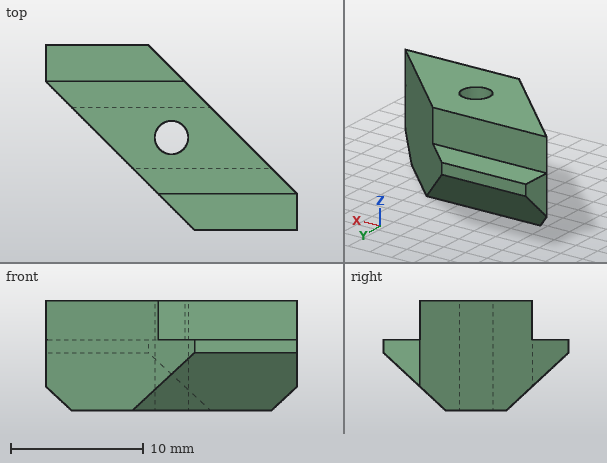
import cadquery as cq

length = 19.0
width = 14.0
height = 8.3

stem_width = 8.5
stem_height = 2.95
flange_edge = 0.99
bottom_width = 4.6

hole_diameter = 2.5

half_length = length / 2
half_width = width / 2
half_stem = stem_width / 2
half_bottom = bottom_width / 2
flange_top = height - stem_height
flank_top = flange_top - flange_edge


def t_profile_bar():
    """Bar along X: upright stem, side flanges and flanks tapering to the bottom."""
    right_half = [
        (half_bottom, 0),
        (half_width, flank_top),
        (half_width, flange_top),
        (half_stem, flange_top),
        (half_stem, height),
    ]
    left_half = [(-y, z) for y, z in reversed(right_half)]
    return (
        cq.Workplane("YZ")
        .polyline(right_half + left_half)
        .close()
        .extrude(half_length, both=True)
    )


def plan_outline():
    """Plan shape: 45 degree end cuts starting where the stem sides meet the ends."""
    cut_run = half_stem + half_width
    front_half = [
        (-half_length, half_stem),
        (-half_length + cut_run, -half_width),
        (half_length, -half_width),
    ]
    back_half = [(-x, -y) for x, y in front_half]
    return cq.Workplane("XY").polyline(front_half + back_half).close().extrude(height)


def through_hole():
    """Vertical hole through the middle of the nut."""
    return cq.Workplane("XY").circle(hole_diameter / 2).extrude(height)


result = t_profile_bar().intersect(plan_outline()).cut(through_hole())